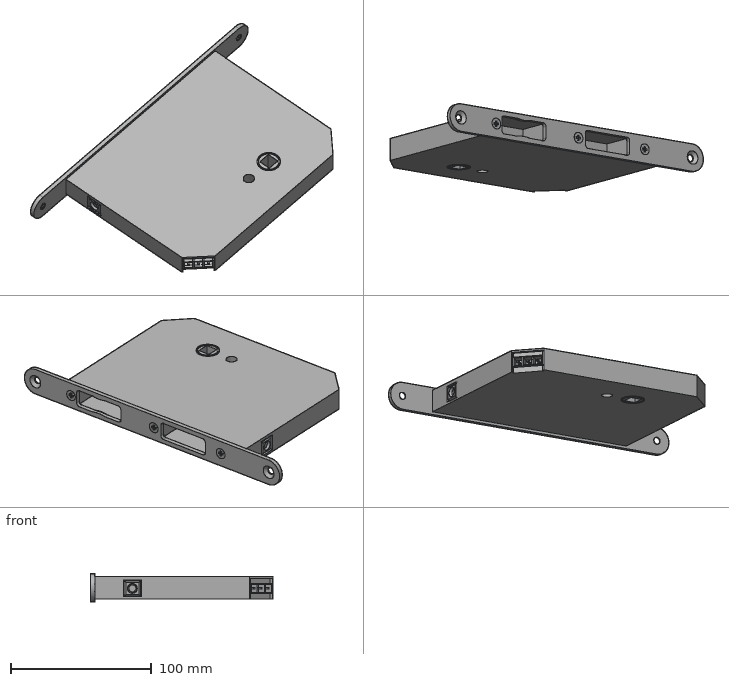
import cadquery as cq

PLATE_LENGTH = 230.0
PLATE_WIDTH = 20.0
PLATE_THICKNESS = 3.2
MOUNT_HOLE_Y = 105.0
MOUNT_HOLE_RADIUS = 2.5
MOUNT_SINK_RADIUS = 4.8

LATCH_WINDOW = (28.0, 67.8)
DEAD_WINDOW = (-48.0, -8.0)
WINDOW_HEIGHT = 13.0
WINDOW_CORNER = 2.3
BOLT_POCKET_DEPTH = 23.0
WAIST_LENGTH = 11.5
WAIST_DEPTH = 0.7

OVERALL_DEPTH = 130.0
CASE_TOP_Y = 79.5
CASE_BOTTOM_Y = -80.5
CASE_HEIGHT = 16.0
CORNER_CUT = 16.8
CASE_UNDERSIDE_Z = -CASE_HEIGHT / 2

FOLLOWER_X = 100.0
FOLLOWER_Y = 27.5
FOLLOWER_RADIUS = 8.3
FOLLOWER_COLLAR_RADIUS = 7.4
FOLLOWER_STEP = 0.5
SPINDLE_SIDE = 9.0
SIDE_HOLE_Y = 6.2
SIDE_HOLE_RADIUS = 4.0

SCREW_POSITIONS_Y = (73.0, -1.5, -61.9)
SCREW_HEAD_RADIUS = 4.0
SCREW_SHANK_RADIUS = 1.8
SCREW_SHANK_LENGTH = 7.0
CROSS_LENGTH = 3.7
CROSS_WIDTH = 1.2
CROSS_DEPTH = 1.5

BOSS_X = 30.0
BOSS_Z = -0.5
BOSS_WIDTH = 11.7
BOSS_HEIGHT = 10.8
BOSS_GAP = 0.5
BOSS_BEVEL = 1.2
BOSS_RECESS_DEPTH = 2.8
BOSS_CONE_RADIUS = 3.5
BOSS_CONE_FLOOR_RADIUS = 2.5
BOSS_CONE_DEPTH = 1.8

TERMINAL_LENGTH = 22.0
TERMINAL_HEIGHT = 7.0
TERMINAL_Z = -0.5
TERMINAL_POCKET_DEPTH = 2.5
TERMINAL_BASE = 2.3
TERMINAL_POCKET_TOP_Z = 6.7
SOCKET_COUNT = 3
SOCKET_PITCH = 7.1
SOCKET_LENGTH = 6.0
SOCKET_HEIGHT = 5.5
SOCKET_DEPTH = 7.0
PIN_SIDE = 1.2


def plate_workplane():
    """Front of the plate: local x is Y, local y is Z, extrusion runs into the lock."""
    return cq.Workplane("YZ")


def corner_workplane():
    """Middle of the lower corner cut: local x along the cut, local y up, normal outwards."""
    origin = (OVERALL_DEPTH - CORNER_CUT / 2, CASE_BOTTOM_Y + CORNER_CUT / 2, 0)
    return cq.Workplane(cq.Plane(origin=origin, xDir=(1, 1, 0), normal=(1, -1, 0)))


def tapered_pin(y, head_radius, shank_radius, length):
    """Countersunk shape along +X: a 45 degree head, then a straight shank."""
    head_depth = head_radius - shank_radius
    profile = [(0, 0), (0, head_radius), (head_depth, shank_radius), (length, shank_radius), (length, 0)]
    return (
        cq.Workplane("XY")
        .polyline(profile)
        .close()
        .revolve(360, (0, 0), (1, 0))
        .translate((0, y, 0))
    )


def screw_blank(y):
    """Screw without its drive; it also shapes the hole the screw sits in."""
    return tapered_pin(y, SCREW_HEAD_RADIUS, SCREW_SHANK_RADIUS, PLATE_THICKNESS + SCREW_SHANK_LENGTH)


def make_screw(y):
    arms = (
        plate_workplane()
        .center(y, 0)
        .rect(CROSS_LENGTH, CROSS_WIDTH)
        .extrude(CROSS_DEPTH)
    )
    cross = arms.union(arms.rotate((0, y, 0), (1, y, 0), 90))
    return screw_blank(y).cut(cross)


def window(span):
    """Rounded bolt opening through the plate."""
    low, high = span
    return (
        plate_workplane()
        .center((low + high) / 2, 0)
        .rect(high - low, WINDOW_HEIGHT)
        .extrude(PLATE_THICKNESS)
        .edges("|X")
        .fillet(WINDOW_CORNER)
    )


def waisted_window(span):
    """Bolt opening narrowed by a shallow arc in the middle of both long sides."""
    middle = sum(span) / 2
    edge_z = WINDOW_HEIGHT / 2
    opening = window(span)
    for side in (1, -1):
        bulge = (
            plate_workplane()
            .moveTo(middle - WAIST_LENGTH / 2, side * edge_z)
            .threePointArc(
                (middle, side * (edge_z - WAIST_DEPTH)),
                (middle + WAIST_LENGTH / 2, side * edge_z),
            )
            .close()
            .extrude(PLATE_THICKNESS)
        )
        opening = opening.cut(bulge)
    return opening


def make_plate():
    plate = plate_workplane().slot2D(PLATE_LENGTH, PLATE_WIDTH).extrude(PLATE_THICKNESS)
    for y in (MOUNT_HOLE_Y, -MOUNT_HOLE_Y):
        plate = plate.cut(tapered_pin(y, MOUNT_SINK_RADIUS, MOUNT_HOLE_RADIUS, PLATE_THICKNESS))
    for y in SCREW_POSITIONS_Y:
        plate = plate.cut(screw_blank(y))
    return plate.cut(waisted_window(LATCH_WINDOW)).cut(window(DEAD_WINDOW))


def follower_blank():
    """Follower without its spindle hole: a disc with a collar on both faces."""
    disc_height = CASE_HEIGHT - 2 * FOLLOWER_STEP
    disc = cq.Workplane("XY").circle(FOLLOWER_RADIUS).extrude(disc_height / 2, both=True)
    collar = cq.Workplane("XY").circle(FOLLOWER_COLLAR_RADIUS).extrude(CASE_HEIGHT / 2, both=True)
    return disc.union(collar).translate((FOLLOWER_X, FOLLOWER_Y, 0))


def make_follower():
    spindle_hole = (
        cq.Workplane("XY")
        .center(FOLLOWER_X, FOLLOWER_Y)
        .rect(SPINDLE_SIDE, SPINDLE_SIDE)
        .extrude(CASE_HEIGHT / 2, both=True)
    )
    return follower_blank().cut(spindle_hole)


def case_block():
    outline = [
        (PLATE_THICKNESS, CASE_BOTTOM_Y),
        (OVERALL_DEPTH - CORNER_CUT, CASE_BOTTOM_Y),
        (OVERALL_DEPTH, CASE_BOTTOM_Y + CORNER_CUT),
        (OVERALL_DEPTH, CASE_TOP_Y - CORNER_CUT),
        (OVERALL_DEPTH - CORNER_CUT, CASE_TOP_Y),
        (PLATE_THICKNESS, CASE_TOP_Y),
    ]
    return cq.Workplane("XY").polyline(outline).close().extrude(CASE_HEIGHT / 2, both=True)


def bolt_pocket(span):
    low, high = span
    return (
        plate_workplane()
        .workplane(offset=PLATE_THICKNESS)
        .center((low + high) / 2, 0)
        .rect(high - low, WINDOW_HEIGHT)
        .extrude(BOLT_POCKET_DEPTH)
    )


def case_holes():
    """Through holes for the follower and the plain hole beneath it."""
    follower_bore = (
        cq.Workplane("XY")
        .center(FOLLOWER_X, FOLLOWER_Y)
        .circle(FOLLOWER_RADIUS)
        .extrude(CASE_HEIGHT / 2, both=True)
    )
    side_hole = (
        cq.Workplane("XY")
        .center(FOLLOWER_X, SIDE_HOLE_Y)
        .circle(SIDE_HOLE_RADIUS)
        .extrude(CASE_HEIGHT / 2, both=True)
    )
    return follower_bore.union(side_hole)


def boss_recess():
    """Square recess in the lower edge, around a bevelled boss with a conical dimple."""
    edge = cq.Workplane("XZ", origin=(BOSS_X, CASE_BOTTOM_Y, BOSS_Z))
    recess = edge.rect(BOSS_WIDTH + 2 * BOSS_GAP, BOSS_HEIGHT + 2 * BOSS_GAP).extrude(-BOSS_RECESS_DEPTH)
    boss = (
        edge.rect(BOSS_WIDTH, BOSS_HEIGHT)
        .extrude(-BOSS_RECESS_DEPTH)
        .faces("<Y")
        .chamfer(BOSS_BEVEL)
    )
    dimple = cq.Workplane(
        cq.Solid.makeCone(
            BOSS_CONE_RADIUS,
            BOSS_CONE_FLOOR_RADIUS,
            BOSS_CONE_DEPTH,
            cq.Vector(BOSS_X, CASE_BOTTOM_Y, BOSS_Z),
            cq.Vector(0, 1, 0),
        )
    )
    return recess.cut(boss.cut(dimple))


def terminal_blank():
    """Terminal block without sockets, set deeper into the case than its pocket."""
    return (
        corner_workplane()
        .center(0, TERMINAL_Z)
        .rect(TERMINAL_LENGTH, TERMINAL_HEIGHT)
        .extrude(-SOCKET_DEPTH - TERMINAL_BASE)
    )


def make_terminal():
    terminal = terminal_blank()
    for index in range(SOCKET_COUNT):
        along = (index - (SOCKET_COUNT - 1) / 2) * SOCKET_PITCH
        socket = (
            corner_workplane()
            .center(along, TERMINAL_Z)
            .rect(SOCKET_LENGTH, SOCKET_HEIGHT)
            .rect(PIN_SIDE, PIN_SIDE)
            .extrude(-SOCKET_DEPTH)
        )
        terminal = terminal.cut(socket)
    return terminal


def terminal_pocket():
    """Pocket in the corner cut, open at the underside of the case."""
    pocket_height = TERMINAL_POCKET_TOP_Z - CASE_UNDERSIDE_Z
    return (
        corner_workplane()
        .center(0, CASE_UNDERSIDE_Z + pocket_height / 2)
        .rect(TERMINAL_LENGTH, pocket_height)
        .extrude(-TERMINAL_POCKET_DEPTH)
    )


def make_case():
    case = case_block().cut(case_holes()).cut(boss_recess())
    for span in (LATCH_WINDOW, DEAD_WINDOW):
        case = case.cut(bolt_pocket(span))
    for y in SCREW_POSITIONS_Y:
        case = case.cut(screw_blank(y))
    return case.cut(terminal_pocket()).cut(terminal_blank())


plate = make_plate()
case = make_case()
follower = make_follower()
terminal = make_terminal()
screws = [make_screw(y) for y in SCREW_POSITIONS_Y]

result = cq.Compound.makeCompound(
    [plate.val(), case.val(), follower.val(), terminal.val(), *[screw.val() for screw in screws]]
)